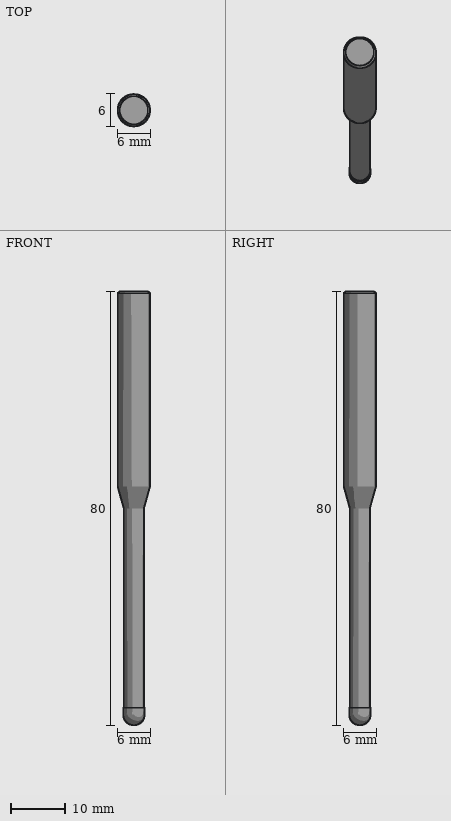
import cadquery as cq
import math

total_length = 80.0
shank_diameter = 6.0
shank_length = 36.0
shank_chamfer = 0.4
taper_length = 4.0
neck_diameter = 3.8
ball_diameter = 4.0
head_length = 3.2

shank_radius = shank_diameter / 2
neck_radius = neck_diameter / 2
ball_radius = ball_diameter / 2
shank_bottom = total_length - shank_length
taper_bottom = shank_bottom - taper_length


def revolve_about_z(profile):
    """Turn a closed half profile, drawn as (radius, height), around the Z axis."""
    return profile.close().revolve(360, (0, 0, 0), (0, 1, 0))


def make_cutting_head():
    """Ball-nosed head: a hemisphere below a short cylinder."""
    arc_middle = ball_radius * math.sqrt(0.5)
    profile = (
        cq.Workplane("XZ")
        .moveTo(0, 0)
        .threePointArc((arc_middle, ball_radius - arc_middle), (ball_radius, ball_radius))
        .lineTo(ball_radius, head_length)
        .lineTo(0, head_length)
    )
    return revolve_about_z(profile)


def make_shank():
    """Slim neck, taper and chamfered shank, seated on the flat top of the head."""
    profile = (
        cq.Workplane("XZ")
        .moveTo(0, head_length)
        .lineTo(neck_radius, head_length)
        .lineTo(neck_radius, taper_bottom)
        .lineTo(shank_radius, shank_bottom)
        .lineTo(shank_radius, total_length - shank_chamfer)
        .lineTo(shank_radius - shank_chamfer, total_length)
        .lineTo(0, total_length)
    )
    return revolve_about_z(profile)


cutting_head = make_cutting_head()
shank = make_shank()

result = cq.Compound.makeCompound([cutting_head.val(), shank.val()])